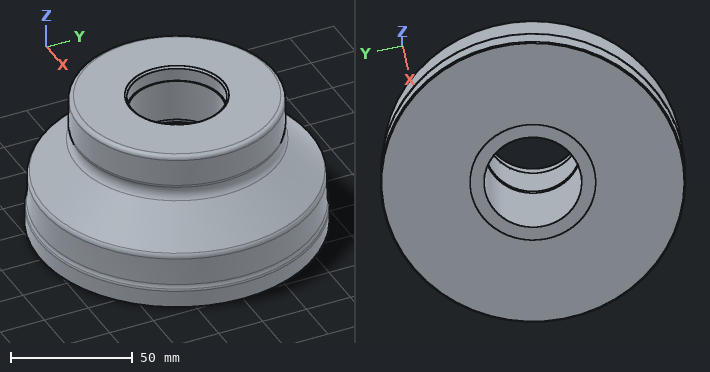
import cadquery as cq
import math

height = 63.0
base_radius = 62.5

base_edge_chamfer = 0.5
base_band_top = 8.4
shoulder_convex_radius = 2.0
shoulder_concave_radius = 4.0

wall_bottom_radius = 61.8
wall_top_radius = 61.5
wall_edge_radius = 3.2

neck_radius = 44.5
neck_edge_radius = 2.0
groove_bottom_radius = 43.9
groove_center_z = 45.5
groove_arc_radius = 5.5
neck_lower_arc_radius = 3.0
cone_angle = math.radians(44)

mouth_radius = 20.5
mouth_chamfer = 0.9
sleeve_bore_radius = 20.0
sleeve_outer_radius = 25.8
sleeve_top = 56.2

undercut_top = 37.2
undercut_height = 1.8
undercut_depth = 0.8


def s_curve_angle(radial_step, first_radius, second_radius):
    """Sweep of two tangent arcs that leave and rejoin vertical lines a radial step apart."""
    return math.acos(1 - radial_step / (first_radius + second_radius))


def arc_point(center_r, center_z, radius, angle):
    """Point on an arc, with the angle measured from the outward radial direction."""
    return center_r + radius * math.cos(angle), center_z + radius * math.sin(angle)


def make_housing():
    shoulder_angle = s_curve_angle(
        base_radius - wall_bottom_radius, shoulder_convex_radius, shoulder_concave_radius
    )
    convex_r = base_radius - shoulder_convex_radius
    concave_r = wall_bottom_radius + shoulder_concave_radius
    concave_z = base_band_top + (shoulder_convex_radius + shoulder_concave_radius) * math.sin(shoulder_angle)

    groove_r = groove_bottom_radius + groove_arc_radius
    cone_top = arc_point(groove_r, groove_center_z, groove_arc_radius, math.pi + cone_angle)
    groove_angle = s_curve_angle(
        neck_radius - groove_bottom_radius, groove_arc_radius, neck_lower_arc_radius
    )
    neck_arc_r = neck_radius - neck_lower_arc_radius
    neck_bottom = groove_center_z + (groove_arc_radius + neck_lower_arc_radius) * math.sin(groove_angle)

    cone_bottom_z = cone_top[1] - (wall_top_radius - cone_top[0]) / math.tan(cone_angle)
    edge_r = wall_top_radius - wall_edge_radius
    edge_z = cone_bottom_z - wall_edge_radius * math.tan(cone_angle / 2)

    neck_edge_r = neck_radius - neck_edge_radius
    neck_edge_z = height - neck_edge_radius

    profile = (
        cq.Workplane("XZ")
        .moveTo(sleeve_outer_radius, 0)
        .lineTo(base_radius - base_edge_chamfer, 0)
        .lineTo(base_radius, base_edge_chamfer)
        .lineTo(base_radius, base_band_top)
        .threePointArc(
            arc_point(convex_r, base_band_top, shoulder_convex_radius, shoulder_angle / 2),
            arc_point(convex_r, base_band_top, shoulder_convex_radius, shoulder_angle),
        )
        .threePointArc(
            arc_point(concave_r, concave_z, shoulder_concave_radius, math.pi + shoulder_angle / 2),
            (wall_bottom_radius, concave_z),
        )
        .lineTo(wall_top_radius, edge_z)
        .threePointArc(
            arc_point(edge_r, edge_z, wall_edge_radius, cone_angle / 2),
            arc_point(edge_r, edge_z, wall_edge_radius, cone_angle),
        )
        .lineTo(*cone_top)
        .threePointArc(
            (groove_bottom_radius, groove_center_z),
            arc_point(groove_r, groove_center_z, groove_arc_radius, math.pi - groove_angle),
        )
        .threePointArc(
            arc_point(neck_arc_r, neck_bottom, neck_lower_arc_radius, -groove_angle / 2),
            (neck_radius, neck_bottom),
        )
        .lineTo(neck_radius, neck_edge_z)
        .threePointArc(
            arc_point(neck_edge_r, neck_edge_z, neck_edge_radius, math.pi / 4),
            (neck_edge_r, height),
        )
        .lineTo(mouth_radius + mouth_chamfer, height)
        .lineTo(mouth_radius, height - mouth_chamfer)
        .lineTo(mouth_radius, sleeve_top)
        .lineTo(sleeve_outer_radius, sleeve_top)
        .close()
    )
    return profile.revolve(360, (0, 0, 0), (0, 1, 0))


def make_sleeve():
    undercut_ledge_z = undercut_top - undercut_height
    profile = (
        cq.Workplane("XZ")
        .moveTo(sleeve_bore_radius, sleeve_top)
        .lineTo(sleeve_outer_radius, sleeve_top)
        .lineTo(sleeve_outer_radius, 0)
        .lineTo(sleeve_bore_radius, 0)
        .lineTo(sleeve_bore_radius, undercut_ledge_z)
        .lineTo(sleeve_bore_radius + undercut_depth, undercut_ledge_z)
        .lineTo(sleeve_bore_radius, undercut_top)
        .close()
    )
    return profile.revolve(360, (0, 0, 0), (0, 1, 0))


housing = make_housing()
sleeve = make_sleeve()

result = cq.Compound.makeCompound([housing.val(), sleeve.val()])